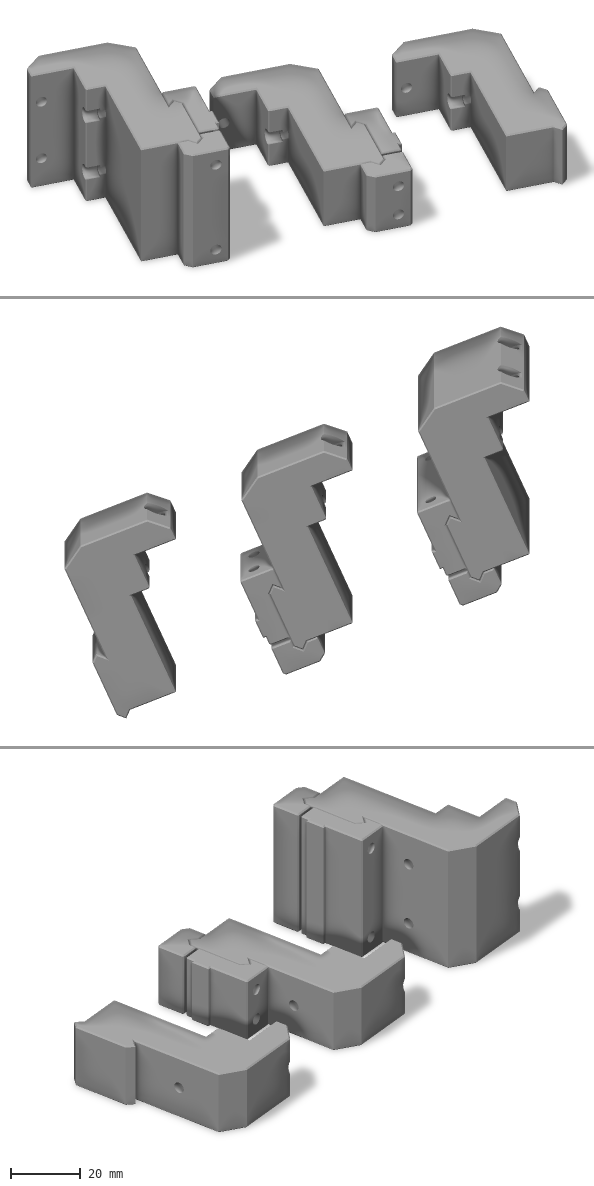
import cadquery as cq

PITCH = 55.0
SHORT_HEIGHT = 20.0
TALL_HEIGHT = 2 * SHORT_HEIGHT
EDGE_CHAMFER = 0.4

FOOT_WIDTH = 8.8
STEP_X = 20.0
BEAM_END = 52.8
STEP_Y = 12.8
BEAM_UNDERSIDE = 18.7
BEAM_TOP = 33.0
TOP_CORNER_X = 4.9
TOP_CORNER_Y = 7.0
FOOT_CORNER_X = 4.9
FOOT_CORNER_Y = 5.1

RAIL_WAIST_LEFT = 35.0
RAIL_FLARE = 2.0
RAIL_TIP_Y = BEAM_TOP + RAIL_FLARE
RAIL_TOP = RAIL_TIP_Y + RAIL_FLARE
RAIL_TIP_LEFT = RAIL_WAIST_LEFT - RAIL_FLARE
RAIL_TIP_RIGHT = BEAM_END + RAIL_FLARE

SCREW_DIAMETER = 3.4
HEAD_DIAMETER = 6.0
FOOT_HOLE_Y = 3.1
HEAD_DEPTH = 4.4
STEP_HOLE_X = 19.0
STEP_BORE_DIAMETER = 4.7
STEP_BORE_DEPTH = 4.4
ARM_HOLE_MARGIN = SHORT_HEIGHT / 2

JAW_LEFT = 28.0
JAW_GAP_LEFT = 49.8
JAW_GAP_RIGHT = 50.7
JAW_RIGHT = 60.1
JAW_TOP = 43.2
JAW_OUTER_CHAMFER = 0.7
PAD_LEFT = 41.0
PAD_RIGHT = 47.0
PAD_TOP = 44.1
HOOK_BOTTOM = 29.7
HOOK_CORNER_X = 1.8
HOOK_CORNER_Y = 2.2
JAW_HOLE_Y = 38.8
JAW_HOLE_MARGIN = SHORT_HEIGHT / 4


def prism(points, height):
    return cq.Workplane("XY").polyline(points).close().extrude(height)


def corner_broken(body, corner, size=EDGE_CHAMFER):
    """Chamfer the upright edge that stands at the given (x, y) corner."""
    middle = body.val().Center().z
    edge = cq.selectors.NearestToPointSelector((*corner, middle))
    return body.edges(edge).chamfer(size)


def rims_broken(body):
    """Chamfer the outlines of the bottom and top faces."""
    return body.faces("<Z or >Z").chamfer(EDGE_CHAMFER)


def cylinder_along_x(diameter, x, y, z, length):
    return cq.Workplane("YZ", origin=(x, y, z)).circle(diameter / 2).extrude(length)


def cylinder_along_y(diameter, x, y, z, length):
    return cq.Workplane("XZ", origin=(x, y, z)).circle(diameter / 2).extrude(-length)


def hole_levels(height, margin):
    """Heights at one margin from the bottom and the top; one level if the two coincide."""
    if height > 2 * margin:
        return [margin, height - margin]
    return [margin]


def foot_hole(z):
    """Screw hole through the foot with a bore for the screw head."""
    shank = cylinder_along_x(SCREW_DIAMETER, 0, FOOT_HOLE_Y, z, FOOT_WIDTH)
    head = cylinder_along_x(HEAD_DIAMETER, 0, FOOT_HOLE_Y, z, HEAD_DEPTH)
    return shank.union(head)


def step_hole(z):
    """Hole through the beam with a wider mouth that opens into the step wall."""
    through = cylinder_along_y(SCREW_DIAMETER, STEP_HOLE_X, STEP_Y, z, BEAM_TOP - STEP_Y)
    mouth = cylinder_along_y(STEP_BORE_DIAMETER, STEP_HOLE_X, STEP_Y, z, STEP_BORE_DEPTH)
    return through.union(mouth)


def arm(height):
    outline = [
        (FOOT_CORNER_X, 0),
        (FOOT_WIDTH, 0),
        (FOOT_WIDTH, STEP_Y),
        (STEP_X, STEP_Y),
        (STEP_X, BEAM_UNDERSIDE),
        (BEAM_END, BEAM_UNDERSIDE),
        (BEAM_END, BEAM_TOP),
        (RAIL_TIP_RIGHT, RAIL_TIP_Y),
        (BEAM_END, RAIL_TOP),
        (RAIL_WAIST_LEFT, RAIL_TOP),
        (RAIL_TIP_LEFT, RAIL_TIP_Y),
        (RAIL_WAIST_LEFT, BEAM_TOP),
        (TOP_CORNER_X, BEAM_TOP),
        (0, BEAM_TOP - TOP_CORNER_Y),
        (0, FOOT_CORNER_Y),
    ]
    body = prism(outline, height)
    body = corner_broken(body, (STEP_X, STEP_Y))
    body = rims_broken(body)
    for z in hole_levels(height, ARM_HOLE_MARGIN):
        body = body.cut(foot_hole(z))
        body = body.cut(step_hole(z))
    return body


def jaw_drilled(body, height):
    """Drill the clamping-screw holes, which run through both jaws just above the rail."""
    for z in hole_levels(height, JAW_HOLE_MARGIN):
        hole = cylinder_along_x(SCREW_DIAMETER, JAW_LEFT, JAW_HOLE_Y, z, JAW_RIGHT - JAW_LEFT)
        body = body.cut(hole)
    return body


def inner_jaw(height):
    """Jaw that rests on the beam, covers the rail and grips its left tip."""
    outline = [
        (JAW_LEFT, BEAM_TOP),
        (RAIL_WAIST_LEFT, BEAM_TOP),
        (RAIL_TIP_LEFT, RAIL_TIP_Y),
        (RAIL_WAIST_LEFT, RAIL_TOP),
        (JAW_GAP_LEFT, RAIL_TOP),
        (JAW_GAP_LEFT, JAW_TOP),
        (PAD_RIGHT, JAW_TOP),
        (PAD_RIGHT, PAD_TOP),
        (PAD_LEFT, PAD_TOP),
        (PAD_LEFT, JAW_TOP),
        (JAW_LEFT, JAW_TOP),
    ]
    body = prism(outline, height)
    for corner in [(JAW_LEFT, BEAM_TOP), (JAW_LEFT, JAW_TOP), (JAW_GAP_LEFT, JAW_TOP)]:
        body = corner_broken(body, corner)
    return jaw_drilled(rims_broken(body), height)


def outer_jaw(height):
    """Jaw that hooks around the right tip of the rail and the end of the beam."""
    outline = [
        (BEAM_END, HOOK_BOTTOM),
        (JAW_RIGHT - HOOK_CORNER_X, HOOK_BOTTOM),
        (JAW_RIGHT, HOOK_BOTTOM + HOOK_CORNER_Y),
        (JAW_RIGHT, JAW_TOP),
        (JAW_GAP_RIGHT, JAW_TOP),
        (JAW_GAP_RIGHT, RAIL_TOP),
        (BEAM_END, RAIL_TOP),
        (RAIL_TIP_RIGHT, RAIL_TIP_Y),
        (BEAM_END, BEAM_TOP),
    ]
    body = prism(outline, height)
    body = corner_broken(body, (JAW_GAP_RIGHT, JAW_TOP))
    body = corner_broken(body, (JAW_RIGHT, JAW_TOP), JAW_OUTER_CHAMFER)
    return jaw_drilled(rims_broken(body), height)


ASSEMBLIES = [
    (TALL_HEIGHT, (arm, inner_jaw, outer_jaw)),
    (SHORT_HEIGHT, (arm, inner_jaw, outer_jaw)),
    (SHORT_HEIGHT, (arm,)),
]

bodies = []
for index, (height, makers) in enumerate(ASSEMBLIES):
    for make_body in makers:
        placed = make_body(height).translate((0, index * PITCH, 0))
        bodies.append(placed.solids().val())

result = cq.Compound.makeCompound(bodies)